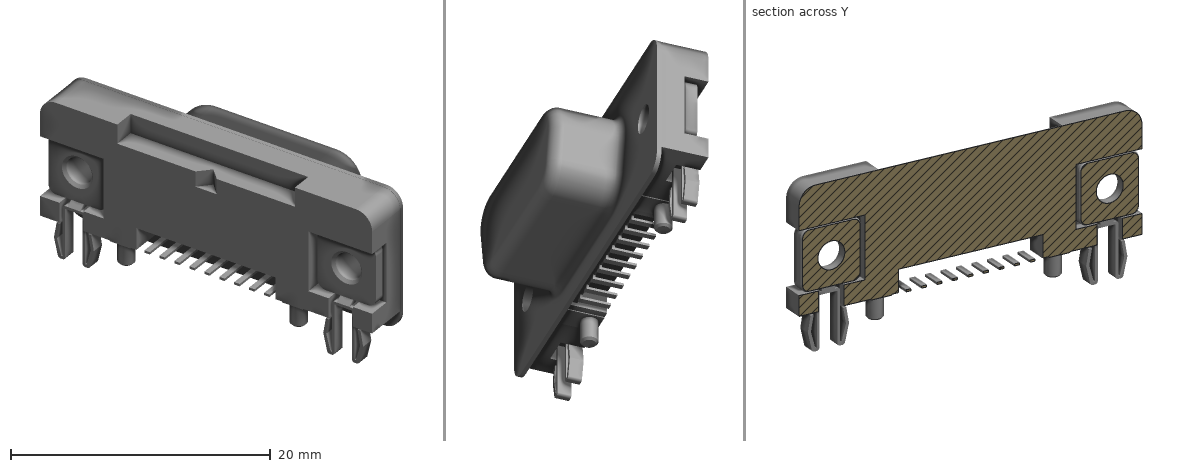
import cadquery as cq
import math

FLANGE_WIDTH = 30.8
FLANGE_OVERHANG = 0.015
BODY_WIDTH = FLANGE_WIDTH - 2 * FLANGE_OVERHANG
FLANGE_TOP = 10.78
BODY_TOP = FLANGE_TOP - FLANGE_OVERHANG
FLANGE_BOTTOM = -1.8
BODY_DEPTH = 3.88
FLANGE_BACK = 4.25
CORNER_RADIUS = 1.5
MID_Z = (FLANGE_TOP + FLANGE_BOTTOM) / 2

SHELL_BACK = 10.1
SHELL_WIDTH = 16.33
SHELL_HEIGHT = 7.95
SHELL_CORNER_RADIUS = 2.6
SHELL_FLANK_ANGLE = 10.0
SHELL_RIM_FILLET = 1.0
SHELL_ROOT_FILLET = 0.52
SELECT_MARGIN = 0.03

TOP_RECESS_WIDTH = 16.45
TOP_RECESS_DEPTH = 1.85
TOP_RECESS_FLOOR = 9.03
NOTCH_WIDTH = 1.97
NOTCH_DEPTH = 1.02
NOTCH_BOTTOM = 7.65
PIN_RECESS_WIDTH = 12.9
PIN_RECESS_DEPTH = 2.45
PIN_RECESS_TOP = 1.97
PIN_WALL_BOTTOM = 0.3

PIN_COUNT = 9
PIN_PITCH = 1.4
PIN_WIDTH = 0.5
PIN_TOP = 0.12
PIN_BOTTOM = -0.1
PIN_FRONT = 0.12
PIN_THICKNESS = PIN_TOP - PIN_BOTTOM
PIN_EMBED = 0.3

INSERT_X = 12.48
INSERT_SIZE = 5.4
INSERT_RADIUS = 0.75
INSERT_CHAMFER = 0.2
INSERT_FRONT = 0.83
POCKET_DEPTH = 1.97
POCKET_TOP = 7.2
POCKET_BOTTOM = 1.8
POCKET_INNER_X = 9.5
INSERT_BOTTOM = POCKET_TOP - INSERT_SIZE
HOLE_DIAMETER = 2.37
HOLE_CHAMFER = 0.25
CLIP_SLOT_WIDTH = 2.25

CLIP_FRONT = 0.35
CLIP_BACK = 1.48
CLIP_TOP = 1.42
CLIP_BOTTOM = -3.48
CLIP_THICKNESS = 0.25
CLIP_HALF_WIDTH = 1.05
CLIP_BEND_RADIUS = 0.25
BARB_FOOT = 1.45
BARB_ELBOW = 1.85
BARB_TIP = 1.6
BARB_ELBOW_Z = -1.75
BARB_TIP_Z = -0.37
BARB_THICKNESS = 0.28
NECK_WIDTH = 1.17

PEG_X = 7.98
PEG_Y = 0.9
PEG_DIAMETER = 1.42
PEG_BOTTOM = -2.13
PEG_CHAMFER = 0.2
PAD_WIDTH = 1.9
PAD_HEIGHT = 0.077


def block(x_range, y_range, z_range):
    """Axis-aligned box given by its limits."""
    size = [high - low for low, high in (x_range, y_range, z_range)]
    corner = (x_range[0], y_range[0], z_range[0])
    return cq.Workplane("XY").box(*size, centered=False).translate(corner)


def centred(width):
    return (-width / 2, width / 2)


def extrude_y(profile, front, back):
    """Extrude an XZ profile from y = front to y = back."""
    return profile.extrude(-(back - front)).translate((0, front, 0))


def make_shell():
    r = SHELL_CORNER_RADIUS
    angle = math.radians(SHELL_FLANK_ANGLE)
    top = MID_Z + SHELL_HEIGHT / 2
    bottom = MID_Z - SHELL_HEIGHT / 2
    upper_x = SHELL_WIDTH / 2 - r
    lower_x = upper_x - (SHELL_HEIGHT - 2 * r) * math.tan(angle)

    def on_circle(side, x, z, direction):
        return (side * (x + r * math.cos(direction)), z + r * math.sin(direction))

    def corner_points(side):
        upper = (side, upper_x, top - r)
        lower = (side, lower_x, bottom + r)
        return (
            on_circle(*upper, math.pi / 4),
            on_circle(*upper, -angle),
            on_circle(*lower, -angle),
            on_circle(*lower, -math.pi / 4),
        )

    upper_mid, flank_top, flank_bottom, lower_mid = corner_points(1)
    left_upper_mid, left_flank_top, left_flank_bottom, left_lower_mid = corner_points(-1)
    profile = (
        cq.Workplane("XZ")
        .moveTo(-upper_x, top)
        .lineTo(upper_x, top)
        .threePointArc(upper_mid, flank_top)
        .lineTo(*flank_bottom)
        .threePointArc(lower_mid, (lower_x, bottom))
        .lineTo(-lower_x, bottom)
        .threePointArc(left_lower_mid, left_flank_bottom)
        .lineTo(*left_flank_top)
        .threePointArc(left_upper_mid, (-upper_x, top))
        .close()
    )
    return extrude_y(profile, FLANGE_BACK, SHELL_BACK).faces(">Y").edges().fillet(SHELL_RIM_FILLET)


def make_flange_and_shell():
    flange = block(centred(FLANGE_WIDTH), (BODY_DEPTH, FLANGE_BACK), (FLANGE_BOTTOM, FLANGE_TOP))
    flange = flange.edges("|Y").fillet(CORNER_RADIUS)
    joined = flange.union(make_shell())
    reach_x = SHELL_WIDTH / 2 + SELECT_MARGIN
    reach_z = SHELL_HEIGHT / 2 + SELECT_MARGIN
    root = cq.selectors.BoxSelector(
        (-reach_x, FLANGE_BACK - SELECT_MARGIN, MID_Z - reach_z),
        (reach_x, FLANGE_BACK + SELECT_MARGIN, MID_Z + reach_z),
        boundingbox=True,
    )
    return joined.edges(root).fillet(SHELL_ROOT_FILLET)


def make_body():
    body = block(centred(BODY_WIDTH), (0, BODY_DEPTH), (0, BODY_TOP))
    body = body.edges("|Y and >Z").fillet(CORNER_RADIUS)

    top_recess = block(centred(TOP_RECESS_WIDTH), (0, TOP_RECESS_DEPTH), (TOP_RECESS_FLOOR, BODY_TOP))
    notch = (
        cq.Workplane("XY", origin=(0, 0, NOTCH_BOTTOM))
        .polyline([(-NOTCH_WIDTH / 2, 0), (NOTCH_WIDTH / 2, 0), (0, NOTCH_DEPTH)])
        .close()
        .extrude(TOP_RECESS_FLOOR - NOTCH_BOTTOM)
    )
    pin_recess = block(centred(PIN_RECESS_WIDTH), (0, PIN_RECESS_DEPTH), (0, PIN_RECESS_TOP))
    pin_wall_gap = block(centred(PIN_RECESS_WIDTH), (0, BODY_DEPTH), (0, PIN_WALL_BOTTOM))
    return body.cut(top_recess).cut(notch).cut(pin_recess).cut(pin_wall_gap)


def make_pin(x):
    """Flat foot that turns up into the body at its rear end."""
    x_range = (x - PIN_WIDTH / 2, x + PIN_WIDTH / 2)
    rear = PIN_RECESS_DEPTH + PIN_THICKNESS
    foot = block(x_range, (PIN_FRONT, rear), (PIN_BOTTOM, PIN_TOP))
    riser = block(x_range, (PIN_RECESS_DEPTH, rear), (PIN_BOTTOM, PIN_WALL_BOTTOM + PIN_EMBED))
    return foot.union(riser)


def make_insert_pocket():
    """Pocket open to the front and the +X end, with the clip's slot below it."""
    pocket = block((POCKET_INNER_X, BODY_WIDTH / 2), (0, POCKET_DEPTH), (POCKET_BOTTOM, POCKET_TOP))
    slot = block(centred(CLIP_SLOT_WIDTH), (0, POCKET_DEPTH), (0, POCKET_BOTTOM))
    return pocket.union(slot.translate((INSERT_X, 0, 0)))


def make_clip():
    """U-shaped strip whose legs fold outwards into barbs, hung from a short sloping neck."""
    leg_inner = CLIP_HALF_WIDTH - CLIP_THICKNESS
    fold_top = CLIP_BOTTOM + BARB_THICKNESS
    half = [
        (CLIP_HALF_WIDTH, CLIP_TOP),
        (CLIP_HALF_WIDTH, fold_top),
        (BARB_FOOT - BARB_THICKNESS, fold_top),
        (BARB_ELBOW - BARB_THICKNESS, BARB_ELBOW_Z),
        (BARB_TIP - BARB_THICKNESS, BARB_TIP_Z),
        (BARB_TIP, BARB_TIP_Z),
        (BARB_ELBOW, BARB_ELBOW_Z),
        (BARB_FOOT, CLIP_BOTTOM),
        (leg_inner, CLIP_BOTTOM),
        (leg_inner, CLIP_TOP - CLIP_THICKNESS),
    ]
    other_half = [(-x, z) for x, z in reversed(half)]
    outline = cq.Workplane("XZ").polyline(half + other_half).close()
    strip = extrude_y(outline, CLIP_FRONT, CLIP_BACK)
    strip = strip.edges("|Y").edges("<Z or >Z").fillet(CLIP_BEND_RADIUS)
    neck_bottom = CLIP_TOP - CLIP_THICKNESS
    neck = (
        cq.Workplane("YZ")
        .polyline(
            [
                (CLIP_FRONT, neck_bottom),
                (CLIP_FRONT, CLIP_TOP),
                (INSERT_FRONT, INSERT_BOTTOM),
                (CLIP_BACK, INSERT_BOTTOM),
                (CLIP_BACK, neck_bottom),
            ]
        )
        .close()
        .extrude(NECK_WIDTH / 2, both=True)
    )
    return strip.union(neck)


def make_insert():
    """Rounded square nut plate together with its board clip."""
    plate = block(centred(INSERT_SIZE), (INSERT_FRONT, POCKET_DEPTH), (INSERT_BOTTOM, POCKET_TOP))
    plate = plate.edges("|Y").fillet(INSERT_RADIUS).faces(">Y").chamfer(INSERT_CHAMFER)
    return plate.union(make_clip()).translate((INSERT_X, 0, 0))


def make_screw_hole():
    """Through hole with a chamfered mouth at the front of the insert."""
    circle = cq.Workplane("XZ").circle(HOLE_DIAMETER / 2)
    hole = extrude_y(circle, INSERT_FRONT, FLANGE_BACK)
    mouth = cq.Workplane("XY").add(
        cq.Solid.makeCone(
            HOLE_DIAMETER / 2 + HOLE_CHAMFER,
            HOLE_DIAMETER / 2,
            HOLE_CHAMFER,
            pnt=cq.Vector(0, INSERT_FRONT, 0),
            dir=cq.Vector(0, 1, 0),
        )
    )
    hole_z = POCKET_TOP - INSERT_SIZE / 2
    return hole.union(mouth).translate((INSERT_X, 0, hole_z))


def make_peg():
    """Locating peg below a thin stand-off pad."""
    pad = block(centred(PAD_WIDTH), (0, BODY_DEPTH), (-PAD_HEIGHT, 0))
    peg = (
        cq.Workplane("XY", origin=(0, PEG_Y, PEG_BOTTOM))
        .circle(PEG_DIAMETER / 2)
        .extrude(-PEG_BOTTOM)
        .faces("<Z")
        .chamfer(PEG_CHAMFER)
    )
    return pad.union(peg).translate((PEG_X, 0, 0))


def both_ends(feature):
    return feature.union(feature.mirror("YZ"))


result = make_body().union(make_flange_and_shell())
result = result.cut(both_ends(make_insert_pocket()))
result = result.union(both_ends(make_insert()))
result = result.cut(both_ends(make_screw_hole()))
result = result.union(both_ends(make_peg()))
for index in range(PIN_COUNT):
    pin_x = (index - (PIN_COUNT - 1) / 2) * PIN_PITCH
    result = result.union(make_pin(pin_x))